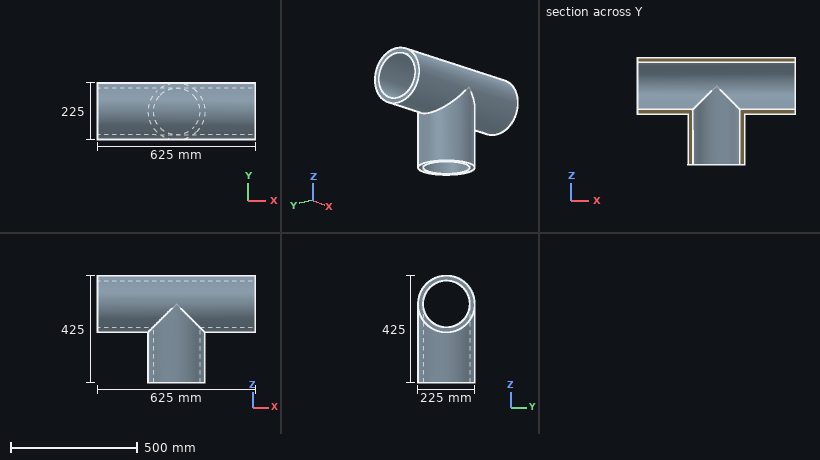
import cadquery as cq

outer_diameter = 225.0
bore_diameter = 184.0
run_length = 625.0
branch_length = run_length / 2


def run_cylinder(diameter):
    """Full-length cylinder along the run axis, centred on the origin."""
    return cq.Workplane("YZ").circle(diameter / 2).extrude(run_length / 2, both=True)


def branch_cylinder(diameter):
    """Cylinder from the run axis down to the branch end."""
    return cq.Workplane("XY").circle(diameter / 2).extrude(-branch_length)


def tee_solid(diameter):
    """Run and branch of the same diameter, joined along a mitred seam."""
    return run_cylinder(diameter).union(branch_cylinder(diameter))


result = tee_solid(outer_diameter).cut(tee_solid(bore_diameter))